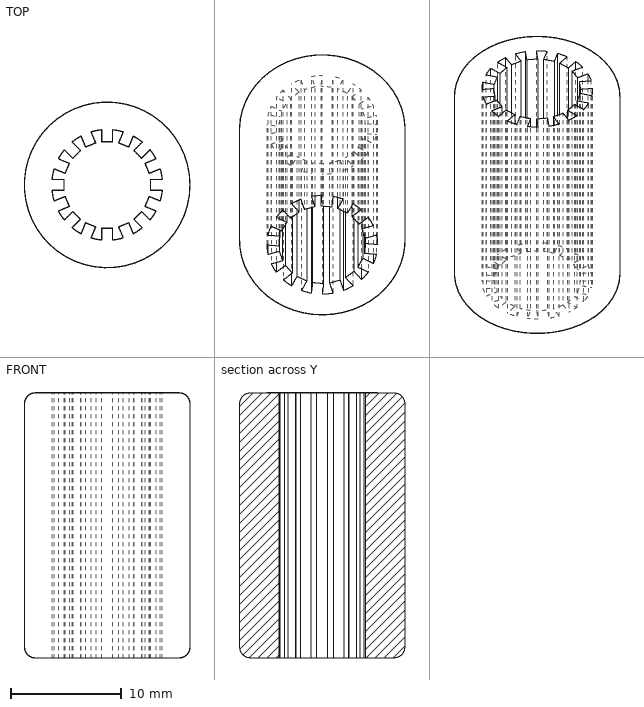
import cadquery as cq

OUTER_DIAMETER = 15.0
LENGTH = 24.0
EDGE_RADIUS = 1.0
ROOT_DIAMETER = 10.0
TIP_ACROSS_FLATS = 7.8
TOOTH_WIDTH = 1.0
TOOTH_COUNT = 16

TOOTH_OVERLAP = 0.5


def make_cylinder(diameter):
    """Full-length cylinder standing on the XY plane, centred on the Z axis."""
    return cq.Workplane("XY").circle(diameter / 2).extrude(LENGTH)


def make_sleeve():
    """Round sleeve with a through bore and rounded outer end edges."""
    body = make_cylinder(OUTER_DIAMETER).edges("%CIRCLE").fillet(EDGE_RADIUS)
    return body.cut(make_cylinder(ROOT_DIAMETER))


def make_tooth():
    """Full-length, parallel-sided, flat-tipped tooth on the +X side of the bore."""
    tip = TIP_ACROSS_FLATS / 2
    height = ROOT_DIAMETER / 2 + TOOTH_OVERLAP - tip
    tooth = cq.Workplane("XY").box(height, TOOTH_WIDTH, LENGTH, centered=(False, True, False))
    return tooth.translate((tip, 0, 0))


def add_teeth(sleeve):
    """Join equally spaced teeth around the bore axis."""
    tooth = make_tooth()
    for index in range(TOOTH_COUNT):
        angle = index * 360 / TOOTH_COUNT
        sleeve = sleeve.union(tooth.rotate((0, 0, 0), (0, 0, 1), angle))
    return sleeve


result = add_teeth(make_sleeve())